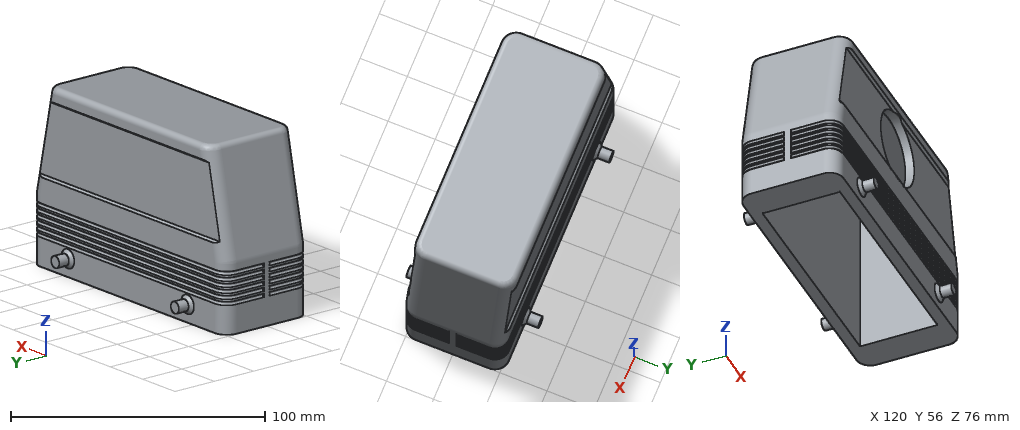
import cadquery as cq
import math

length = 120.0
width = 43.15
height = 76.0
shoulder_z = 29.3
end_taper = 12.1
corner_radius = 6.0
bend_radius = 6.05
top_radius = 2.5

cavity_length = 93.2
cavity_width = 33.4
cavity_top_z = 72.0

recess_depth = 1.1
recess_center_z = 53.6
recess_floor_height = 31.0
recess_mouth_height = 32.8

entry_diameter = 32.0

groove_count = 6
groove_radius = 0.75
groove_pitch = 2.5
lowest_groove_z = 13.0
end_rib_width = 3.0

pin_diameter = 5.0
pin_span = 56.0
pin_spacing = 74.0
pin_z = 7.6
collar_diameter = 8.0
collar_height = (collar_diameter - pin_diameter) / 2


def make_body():
    """Block with leaning end walls, rounded corners and a rounded top edge."""
    half = length / 2
    taper = math.radians(end_taper)
    tangent_length = bend_radius * math.tan(taper / 2)
    bend_z = shoulder_z + tangent_length
    top_half = half - (height - bend_z) * math.tan(taper)

    def bend_point(angle):
        x = half - bend_radius * (1 - math.cos(angle))
        z = shoulder_z + bend_radius * math.sin(angle)
        return x, z

    mid_x, mid_z = bend_point(taper / 2)
    end_x, end_z = bend_point(taper)
    profile = (
        cq.Workplane("XZ")
        .moveTo(-half, 0)
        .lineTo(half, 0)
        .lineTo(half, shoulder_z)
        .threePointArc((mid_x, mid_z), (end_x, end_z))
        .lineTo(top_half, height)
        .lineTo(-top_half, height)
        .lineTo(-end_x, end_z)
        .threePointArc((-mid_x, mid_z), (-half, shoulder_z))
        .close()
    )
    block = profile.extrude(width / 2, both=True)
    long_faces = block.faces("<Y or >Y")
    corners = long_faces.edges("not #Z").edges("not(<Z or >Z)")
    return corners.fillet(corner_radius).faces(">Z").edges().fillet(top_radius)


def make_recess(side):
    """Cutter for the full-length recess on one long wall; side is -1 or +1."""
    wall_y = side * width / 2
    floor_y = wall_y - side * recess_depth
    floor_half = recess_floor_height / 2
    mouth_half = recess_mouth_height / 2
    outline = [
        (floor_y, recess_center_z - floor_half),
        (wall_y, recess_center_z - mouth_half),
        (wall_y, recess_center_z + mouth_half),
        (floor_y, recess_center_z + floor_half),
    ]
    return cq.Workplane("YZ").polyline(outline).close().extrude(length / 2, both=True)


def make_cavity():
    return cq.Workplane("XY").rect(cavity_length, cavity_width).extrude(cavity_top_z)


def make_cable_entry():
    return (
        cq.Workplane("XZ")
        .center(0, recess_center_z)
        .circle(entry_diameter / 2)
        .extrude(width / 2)
    )


def make_groove_ring():
    """Round bar along half of the body outline, stopping at the middle strip of each end."""
    half_x = length / 2
    half_y = width / 2
    start_y = end_rib_width / 2
    arc_offset = corner_radius * (1 - math.sqrt(0.5))
    path = (
        cq.Workplane("XY")
        .moveTo(half_x, start_y)
        .lineTo(half_x, half_y - corner_radius)
        .threePointArc((half_x - arc_offset, half_y - arc_offset), (half_x - corner_radius, half_y))
        .lineTo(corner_radius - half_x, half_y)
        .threePointArc((arc_offset - half_x, half_y - arc_offset), (-half_x, half_y - corner_radius))
        .lineTo(-half_x, start_y)
    )
    section = cq.Workplane("XZ", origin=(half_x, start_y, 0)).circle(groove_radius)
    half_ring = section.sweep(path)
    return half_ring.add(half_ring.mirror("XZ")).combine()


def make_pin(x, side):
    """Round pin with a conical collar; side is -1 or +1."""
    wall = width / 2
    tip = pin_span / 2
    outline = [
        (0, cavity_width / 2),
        (collar_diameter / 2, cavity_width / 2),
        (collar_diameter / 2, wall),
        (pin_diameter / 2, wall + collar_height),
        (pin_diameter / 2, tip),
        (0, tip),
    ]
    pin = cq.Workplane("XY").polyline(outline).close().revolve(360, (0, 0, 0), (0, 1, 0))
    if side < 0:
        pin = pin.mirror("XZ")
    return pin.translate((x, 0, pin_z))


result = make_body().cut(make_cavity())
for side in (-1, 1):
    result = result.cut(make_recess(side))
result = result.cut(make_cable_entry())

groove_ring = make_groove_ring()
for index in range(groove_count):
    groove_z = lowest_groove_z + index * groove_pitch
    result = result.cut(groove_ring.translate((0, 0, groove_z)))

for side in (-1, 1):
    for x in (-pin_spacing / 2, pin_spacing / 2):
        result = result.union(make_pin(x, side))